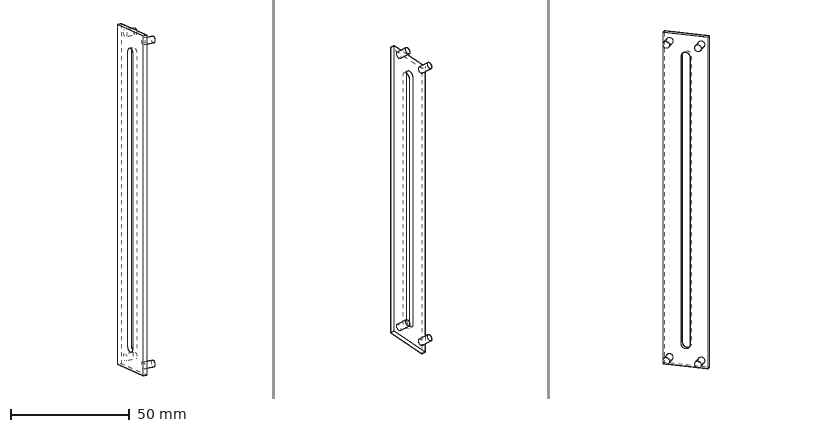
import cadquery as cq

plate_width = 20.0
plate_height = 150.0
plate_thickness = 2.0

slot_width = 4.0
slot_end_margin = 8.0
slot_length = plate_height - 2 * slot_end_margin

peg_diameter = 3.0
peg_length = 5.0
peg_spacing_x = 14.0
peg_edge_distance_z = 3.5
peg_spacing_z = plate_height - 2 * peg_edge_distance_z


def make_plate():
    return cq.Workplane("XY").box(
        plate_width, plate_thickness, plate_height, centered=(True, False, True)
    )


def make_slot():
    vertical = 90
    return (
        cq.Workplane("XZ")
        .slot2D(slot_length, slot_width, vertical)
        .extrude(-plate_thickness)
    )


def make_pegs():
    return (
        cq.Workplane("XZ")
        .rect(peg_spacing_x, peg_spacing_z, forConstruction=True)
        .vertices()
        .circle(peg_diameter / 2)
        .extrude(-(plate_thickness + peg_length))
    )


result = make_plate().cut(make_slot()).union(make_pegs())